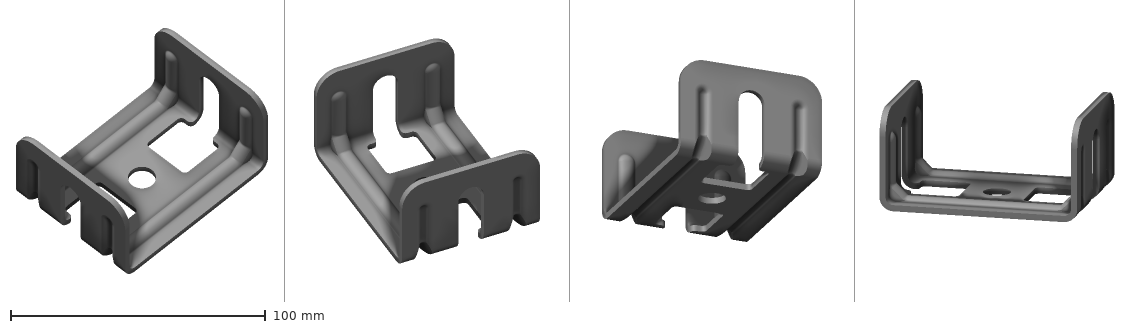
import cadquery as cq
import math

WIDTH = 60.0
LENGTH = 80.0
HEIGHT = 40.0
SHEET = 2.5
INNER_BEND = 3.0
OUTER_BEND = INNER_BEND + SHEET
WALL_CORNER_RADIUS = 10.0

HOLE_DIAMETER = 11.0
SLOT_WIDTH = 11.0
SLOT_TOP = 30.5
WINDOW_WIDTH = 21.7
WINDOW_NEAR = 13.0
WINDOW_FAR = 33.0
WINDOW_RADIUS = 2.0

BEAD_OFFSET = 20.4
BEAD_HALF_WIDTH = 3.8
BEAD_HEIGHT = 1.75
BEAD_DOME_Z = 26.25
GROOVE_CROWN_RADIUS = 2.0
RIDGE_CROWN_RADIUS = 4.25

RIDGE_INTERCEPT = 13.3
GROOVE_INTERCEPT = 10.5
CREST_BLEND_RADIUS = 1.0
GUSSET_ANGLE = 45.0

FLARE_ANGLE = 2 * math.atan(BEAD_HEIGHT / BEAD_HALF_WIDTH)
RADIUS_SUM = BEAD_HALF_WIDTH / math.sin(FLARE_ANGLE)


def rounded_block(width, length, height, radius):
    """Block standing on Z = 0 with its two bottom edges along X rounded."""
    block = cq.Workplane("XY").box(width, length, height, centered=(True, True, False))
    return block.edges("|X and <Z").fillet(radius)


def channel():
    inner = rounded_block(WIDTH, LENGTH - 2 * SHEET, HEIGHT, INNER_BEND)
    shell = outer_envelope().cut(inner.translate((0, 0, SHEET)))
    return shell.edges("|Y and >Z").fillet(WALL_CORNER_RADIUS)


def outer_envelope():
    return rounded_block(WIDTH, LENGTH, HEIGHT, OUTER_BEND)


def arc_point(radius, fraction):
    """Point on the crown arc, at a fraction of the angle from its top to its end."""
    angle = fraction * FLARE_ANGLE
    return (radius * math.sin(angle), BEAD_HEIGHT - radius * (1 - math.cos(angle)))


def flare_midpoint(crown_radius):
    radius = RADIUS_SUM - crown_radius
    angle = FLARE_ANGLE / 2
    return (BEAD_HALF_WIDTH - radius * math.sin(angle), radius * (1 - math.cos(angle)))


def mirrored(point):
    return (-point[0], point[1])


def bead_bar(plane, crown_radius, length):
    """Straight bead whose section rises from the local X axis of the plane."""
    end = arc_point(crown_radius, 1)
    flare = flare_midpoint(crown_radius)
    return (
        cq.Workplane(plane)
        .moveTo(-BEAD_HALF_WIDTH, 0)
        .threePointArc(mirrored(flare), mirrored(end))
        .threePointArc((0, BEAD_HEIGHT), end)
        .threePointArc(flare, (BEAD_HALF_WIDTH, 0))
        .close()
        .extrude(length)
    )


def bead_dome(plane, crown_radius):
    """Bead end: half of the section turned about the local Y axis of the plane."""
    return (
        cq.Workplane(plane)
        .moveTo(0, 0)
        .lineTo(0, BEAD_HEIGHT)
        .threePointArc(arc_point(crown_radius, 0.5), arc_point(crown_radius, 1))
        .threePointArc(flare_midpoint(crown_radius), (BEAD_HALF_WIDTH, 0))
        .close()
        .revolve(360, (0, 0, 0), (0, 1, 0))
    )


def gusset_bar(x, crown_radius, intercept, bend_radius):
    """Diagonal bar across the -Y bend, crowned on top and widening down to the bend surface."""
    bend_centre = OUTER_BEND * math.sqrt(2)
    crest = intercept / math.sqrt(2)
    drop = crest - (bend_centre - bend_radius)
    end = arc_point(crown_radius, 1)
    crown_end = (end[0], end[1] - BEAD_HEIGHT)
    base = -drop - SHEET
    length = 2 * intercept
    plane = cq.Plane(
        origin=(x, -LENGTH / 2 + intercept / 2, intercept / 2),
        xDir=(1, 0, 0),
        normal=(0, -1, 1),
    )
    return (
        cq.Workplane(plane)
        .moveTo(*mirrored(crown_end))
        .threePointArc((0, 0), crown_end)
        .lineTo(BEAD_HALF_WIDTH, -drop)
        .lineTo(BEAD_HALF_WIDTH, base)
        .lineTo(-BEAD_HALF_WIDTH, base)
        .lineTo(-BEAD_HALF_WIDTH, -drop)
        .close()
        .extrude(length, both=True)
    )


def crest_blends(x, crown_radius, base, intercept):
    """Rounded turns where the gusset crest meets the wall bead crest and the floor bead crest."""
    crest = base + BEAD_HEIGHT
    turn = math.radians(GUSSET_ANGLE)
    start_z = intercept - crest + CREST_BLEND_RADIUS * math.tan(turn / 2)
    plane = cq.Plane(
        origin=(x, -LENGTH / 2 + base, start_z),
        xDir=(1, 0, 0),
        normal=(0, 0, 1),
    )
    axis_height = BEAD_HEIGHT + CREST_BLEND_RADIUS
    end = arc_point(crown_radius, 1)
    wall_blend = (
        cq.Workplane(plane)
        .moveTo(-end[0], 0)
        .lineTo(*mirrored(end))
        .threePointArc((0, BEAD_HEIGHT), end)
        .lineTo(end[0], 0)
        .close()
        .revolve(GUSSET_ANGLE, (0, axis_height, 0), (1, axis_height, 0))
    )
    floor_blend = wall_blend.mirror((0, 1, -1), (0, -LENGTH / 2, 0))
    return wall_blend.union(floor_blend)


def both_ends(shape):
    return shape.union(shape.mirror("XZ"))


def bead_form(x, crown_radius, base, intercept, bend_radius):
    """Floor bead, two domed wall beads and two gussets, raised from faces at depth base."""
    wall_y = -LENGTH / 2 + base
    floor_plane = cq.Plane(origin=(x, LENGTH / 2 - base, base), xDir=(1, 0, 0), normal=(0, -1, 0))
    wall_plane = cq.Plane(origin=(x, wall_y, base), xDir=(1, 0, 0), normal=(0, 0, 1))
    dome_plane = cq.Plane(origin=(x, wall_y, BEAD_DOME_Z), xDir=(1, 0, 0), normal=(0, 0, 1))
    end_form = bead_bar(wall_plane, crown_radius, BEAD_DOME_Z - base)
    end_form = end_form.union(bead_dome(dome_plane, crown_radius))
    end_form = end_form.union(gusset_bar(x, crown_radius, intercept, bend_radius))
    end_form = end_form.union(crest_blends(x, crown_radius, base, intercept))
    floor_bar = bead_bar(floor_plane, crown_radius, LENGTH - 2 * base)
    return both_ends(end_form).union(floor_bar)


def add_beads(body):
    envelope = outer_envelope()
    for x in (-BEAD_OFFSET, BEAD_OFFSET):
        ridge = bead_form(x, RIDGE_CROWN_RADIUS, SHEET, RIDGE_INTERCEPT, INNER_BEND)
        body = body.union(ridge.intersect(envelope))
    for x in (-BEAD_OFFSET, BEAD_OFFSET):
        body = body.cut(bead_form(x, GROOVE_CROWN_RADIUS, 0, GROOVE_INTERCEPT, OUTER_BEND))
    return body


def floor_hole():
    return cq.Workplane("XY").circle(HOLE_DIAMETER / 2).extrude(SHEET)


def wall_slots():
    """Round-topped slot through both walls and down through the bends."""
    radius = SLOT_WIDTH / 2
    centre_z = SLOT_TOP - radius
    slot = (
        cq.Workplane("XZ", origin=(0, -LENGTH / 2, 0))
        .moveTo(-radius, 0)
        .lineTo(-radius, centre_z)
        .threePointArc((0, SLOT_TOP), (radius, centre_z))
        .lineTo(radius, 0)
        .close()
        .extrude(-OUTER_BEND)
    )
    return both_ends(slot)


def floor_windows():
    """Rounded window near each wall, joined to the wall slot by a neck with rounded mouth."""
    depth = WINDOW_FAR - WINDOW_NEAR
    window = (
        cq.Workplane("XY", origin=(0, -(WINDOW_NEAR + WINDOW_FAR) / 2, 0))
        .rect(WINDOW_WIDTH, depth)
        .extrude(SHEET)
        .edges("|Z")
        .fillet(WINDOW_RADIUS)
    )
    neck_half = SLOT_WIDTH / 2
    mouth_half = neck_half + WINDOW_RADIUS
    bevel = WINDOW_RADIUS * (1 - math.sqrt(0.5))
    neck_end = -WINDOW_FAR - WINDOW_RADIUS
    neck = (
        cq.Workplane("XY")
        .moveTo(-mouth_half, -WINDOW_FAR)
        .threePointArc((-neck_half - bevel, -WINDOW_FAR - bevel), (-neck_half, neck_end))
        .lineTo(neck_half, neck_end)
        .threePointArc((neck_half + bevel, -WINDOW_FAR - bevel), (mouth_half, -WINDOW_FAR))
        .close()
        .extrude(OUTER_BEND)
    )
    return both_ends(window.union(neck))


result = add_beads(channel()).cut(floor_hole()).cut(wall_slots()).cut(floor_windows())